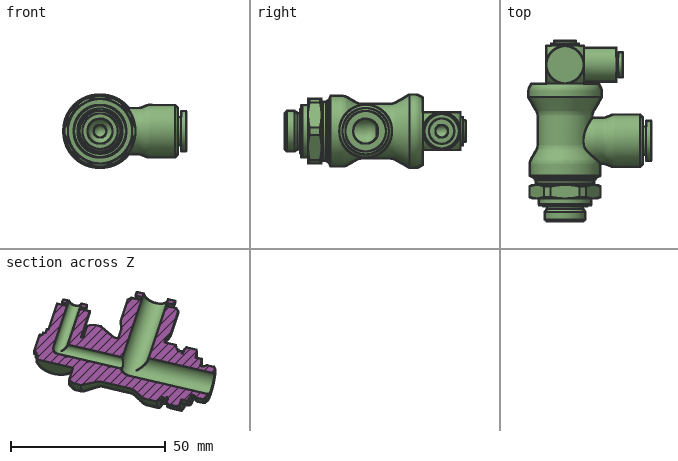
import cadquery as cq
import math

TOTAL_LENGTH = 58.5
TOTAL_WIDTH = 39.8
BRANCH_Y = 26.15
ELBOW_Y = 50.7
CONE_ANGLE = math.radians(30)

BODY_START = 14.85
BODY_END = 44.65
COLLAR_RADIUS = 11.45
WAIST_RADIUS = 8.9
HEAD_RADIUS = 23.8 / 2
HEAD_END_RADIUS = 10.9
WAIST_START = 23.85
WAIST_END = 35.05
COLLAR_CONE_START = WAIST_START - (COLLAR_RADIUS - WAIST_RADIUS) / math.tan(CONE_ANGLE)
HEAD_START = WAIST_END + (HEAD_RADIUS - WAIST_RADIUS) / math.tan(CONE_ANGLE)
HEAD_CONE_START = BODY_END - (HEAD_RADIUS - HEAD_END_RADIUS) / math.tan(CONE_ANGLE)
BODY_ROUND = 2.9
HEAD_ROUND = 2.2

LIP_RADIUS = 10.05
LIP_END_RADIUS = 9.8
LIP_START = 13.7
LIP_END = 14.2
GROOVE_RADIUS = 9.35
RING_RADIUS = 9.6
RING_START = 12.35
RING_END = 13.35
STEM_RADIUS = 8.95

HEX_START = 7.5
HEX_END = 11.95
HEX_ACROSS_FLATS = 21.0
HEX_CORNER_RADIUS = 23.0 / 2
HEX_FACE_RADIUS = 10.4
HEX_CHAMFER = 0.5

FLANGE_RADIUS = 8.55
FLANGE_START = 5.25
FLANGE_CHAMFER_WIDTH = 0.2
FLANGE_CHAMFER_LENGTH = 0.4
SEAL_MID_RADIUS = 6.6
SEAL_SECTION_RADIUS = 0.8
SEAL_Y = 5.7
THREAD_RADIUS = 6.6
THREAD_TIP_RADIUS = 5.75
THREAD_CHAMFER = 0.75
THREAD_END = 3.1
NECK_RADIUS = 5.85
NECK_START = 4.15

STUB_RADIUS = 15.05 / 2
STUB_DOME_X = 9.65
STUB_CONE_START = 13.0
SLEEVE_START = 15.5
SLEEVE_END = 25.2
SLEEVE_RADIUS = 8.55
SLEEVE_CHAMFER = 1.05
SLEEVE_BLEND = 2.05
BRANCH_NECK_RADIUS = 4.6
BRANCH_RELEASE_START = 26.2
BRANCH_RELEASE_END = TOTAL_WIDTH - HEAD_RADIUS
BRANCH_RELEASE_RADIUS = 6.55
BRANCH_RELEASE_ROUND = 0.35

ELBOW_SIZE = 12.3
ELBOW_FACE_RADIUS = 6.0
OUTLET_RADIUS = 5.55
OUTLET_END = 16.6
OUTLET_NECK_RADIUS = 2.65
OUTLET_RELEASE_START = 17.2
OUTLET_RELEASE_END = 18.7
OUTLET_RELEASE_RADIUS = 4.1
OUTLET_RELEASE_ROUND = 0.35
CAP_RADIUS = 4.55
CAP_END = 57.6
BUTTON_RADIUS = 3.55
BUTTON_ROUND = 0.35

MAIN_BORE_RADIUS = 4.05
SMALL_BORE_RADIUS = 2.05


def cylinder_y(radius, start, end):
    """Cylinder on the main axis from Y = start to Y = end."""
    base = cq.Vector(0, start, 0)
    return cq.Workplane(cq.Solid.makeCylinder(radius, end - start, base, cq.Vector(0, 1, 0)))


def cylinder_x(radius, start, end, y):
    """Cylinder parallel to X from X = start to X = end at the given Y."""
    base = cq.Vector(start, y, 0)
    return cq.Workplane(cq.Solid.makeCylinder(radius, end - start, base, cq.Vector(1, 0, 0)))


def turn_y(points):
    """Turn a (radius, Y) outline around the main axis."""
    return cq.Workplane("XY").polyline(points).close().revolve(360, (0, 0, 0), (0, 1, 0))


def round_rims(solid, y, radius):
    """Round the circular edges of a turned solid that lie at the given Y."""
    reach = TOTAL_WIDTH
    margin = 0.005
    low = (-reach, y - margin, -reach)
    high = (reach, y + margin, reach)
    rims = cq.selectors.BoxSelector(low, high, boundingbox=True)
    return solid.edges(rims).fillet(radius)


def make_body():
    """Spool-shaped body with 30 degree cones running into the waist."""
    spool = turn_y([
        (0, BODY_START),
        (COLLAR_RADIUS, BODY_START),
        (COLLAR_RADIUS, COLLAR_CONE_START),
        (WAIST_RADIUS, WAIST_START),
        (WAIST_RADIUS, WAIST_END),
        (HEAD_RADIUS, HEAD_START),
        (HEAD_RADIUS, HEAD_CONE_START),
        (HEAD_END_RADIUS, BODY_END),
        (0, BODY_END),
    ])
    spool = round_rims(spool, COLLAR_CONE_START, BODY_ROUND)
    spool = round_rims(spool, WAIST_START, BODY_ROUND)
    spool = round_rims(spool, WAIST_END, BODY_ROUND)
    return round_rims(spool, HEAD_CONE_START, HEAD_ROUND)


def make_hexagon():
    """Hexagon with flats facing +Z and -Z, turned corners and chamfered faces."""
    length = HEX_END - HEX_START
    corner_diameter = HEX_ACROSS_FLATS / math.cos(math.pi / 6)
    prism = (
        cq.Workplane("XZ", origin=(0, HEX_END, 0))
        .polygon(6, corner_diameter)
        .extrude(length)
    )
    envelope = turn_y([
        (0, HEX_START),
        (HEX_FACE_RADIUS, HEX_START),
        (HEX_CORNER_RADIUS, HEX_START + HEX_CHAMFER),
        (HEX_CORNER_RADIUS, HEX_END - HEX_CHAMFER),
        (HEX_FACE_RADIUS, HEX_END),
        (0, HEX_END),
    ])
    return prism.intersect(envelope)


def make_stem():
    """Tapered lip, narrow groove, ring and neck from the body down to the hexagon."""
    return turn_y([
        (0, BODY_START),
        (COLLAR_RADIUS, BODY_START),
        (LIP_RADIUS, LIP_END),
        (LIP_END_RADIUS, LIP_START),
        (GROOVE_RADIUS, LIP_START),
        (GROOVE_RADIUS, RING_END),
        (RING_RADIUS, RING_END),
        (RING_RADIUS, RING_START),
        (STEM_RADIUS, RING_START),
        (STEM_RADIUS, HEX_END),
        (0, HEX_END),
    ])


def make_threaded_end():
    """Flange, seal ring and threaded end, with the thread as a plain cylinder."""
    turned = turn_y([
        (0, 0),
        (THREAD_TIP_RADIUS, 0),
        (THREAD_RADIUS, THREAD_CHAMFER),
        (THREAD_RADIUS, THREAD_END),
        (NECK_RADIUS, NECK_START),
        (NECK_RADIUS, FLANGE_START),
        (FLANGE_RADIUS - FLANGE_CHAMFER_WIDTH, FLANGE_START),
        (FLANGE_RADIUS, FLANGE_START + FLANGE_CHAMFER_LENGTH),
        (FLANGE_RADIUS, HEX_START),
        (0, HEX_START),
    ])
    seal = (
        cq.Workplane("XY")
        .center(SEAL_MID_RADIUS, SEAL_Y)
        .circle(SEAL_SECTION_RADIUS)
        .revolve(360, (-SEAL_MID_RADIUS, 0, 0), (-SEAL_MID_RADIUS, 1, 0))
    )
    return turned.union(seal)


def make_release_collar(neck_radius, neck_start, radius, start, end, rim_round, y):
    """Push-in release collar: a thin neck carrying a round-edged disc."""
    neck = cylinder_x(neck_radius, neck_start, start, y)
    disc = cylinder_x(radius, start, end, y).edges("%CIRCLE").fillet(rim_round)
    return neck.union(disc)


def make_large_outlet():
    """Domed stub widening into the sleeve, with its release collar."""
    sleeve = (
        cq.Workplane("XY")
        .moveTo(STUB_DOME_X - STUB_RADIUS, 0)
        .radiusArc((STUB_DOME_X, STUB_RADIUS), STUB_RADIUS)
        .lineTo(STUB_CONE_START, STUB_RADIUS)
        .lineTo(SLEEVE_START, SLEEVE_RADIUS)
        .lineTo(SLEEVE_END - SLEEVE_CHAMFER, SLEEVE_RADIUS)
        .lineTo(SLEEVE_END, SLEEVE_RADIUS - SLEEVE_CHAMFER)
        .lineTo(SLEEVE_END, 0)
        .close()
        .revolve(360, (0, 0, 0), (1, 0, 0))
    )
    for x in (STUB_CONE_START, SLEEVE_START):
        sleeve = sleeve.edges(cq.selectors.NearestToPointSelector((x, 0, 0))).fillet(SLEEVE_BLEND)
    sleeve = sleeve.translate((0, BRANCH_Y, 0))
    collar = make_release_collar(
        BRANCH_NECK_RADIUS, SLEEVE_END, BRANCH_RELEASE_RADIUS,
        BRANCH_RELEASE_START, BRANCH_RELEASE_END, BRANCH_RELEASE_ROUND, BRANCH_Y,
    )
    return sleeve.union(collar)


def make_elbow():
    """Sphere-rounded cube on the head, with its side outlet and end cap."""
    half_size = ELBOW_SIZE / 2
    rounding_radius = math.hypot(half_size, ELBOW_FACE_RADIUS)
    cube = cq.Workplane("XY").box(ELBOW_SIZE, ELBOW_SIZE, ELBOW_SIZE).translate((0, ELBOW_Y, 0))
    ball = cq.Workplane("XY").sphere(rounding_radius).translate((0, ELBOW_Y, 0))
    cube = cube.intersect(ball)
    outlet = cylinder_x(OUTLET_RADIUS, 0, OUTLET_END, ELBOW_Y)
    collar = make_release_collar(
        OUTLET_NECK_RADIUS, OUTLET_END, OUTLET_RELEASE_RADIUS,
        OUTLET_RELEASE_START, OUTLET_RELEASE_END, OUTLET_RELEASE_ROUND, ELBOW_Y,
    )
    cap = cylinder_y(CAP_RADIUS, ELBOW_Y, CAP_END)
    button = cylinder_y(BUTTON_RADIUS, ELBOW_Y, TOTAL_LENGTH).faces(">Y").edges().fillet(BUTTON_ROUND)
    return cube.union(outlet).union(collar).union(cap).union(button)


def make_passage(radius, turn_at, outlet_end):
    """Bore from the threaded end that turns through a ball-shaped corner to +X."""
    inlet = (
        cq.Workplane("XY")
        .lineTo(radius, 0)
        .lineTo(radius, turn_at)
        .radiusArc((0, turn_at + radius), -radius)
        .close()
        .revolve(360, (0, 0, 0), (0, 1, 0))
    )
    outlet = cylinder_x(radius, 0, outlet_end, turn_at)
    return inlet.union(outlet)


result = (
    make_body()
    .union(make_stem())
    .union(make_hexagon())
    .union(make_threaded_end())
    .union(make_large_outlet())
    .union(make_elbow())
    .cut(make_passage(MAIN_BORE_RADIUS, BRANCH_Y, BRANCH_RELEASE_END))
    .cut(make_passage(SMALL_BORE_RADIUS, ELBOW_Y, OUTLET_RELEASE_END))
)